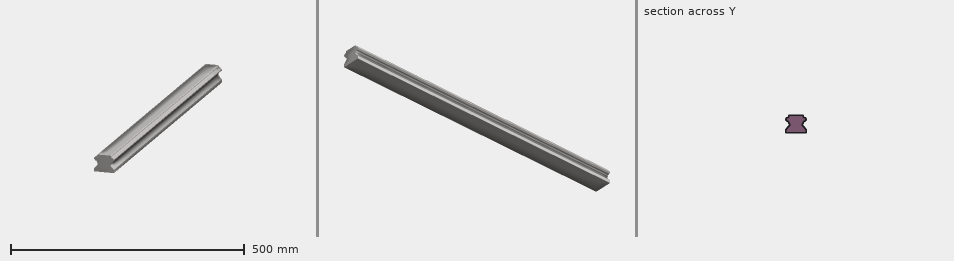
import cadquery as cq
import math

length = 720.0
width = 45.0
height = 38.0
half_width = width / 2

base_side_top = 7.0
waist_half = 14.5
waist_bottom = 16.0
waist_top = 19.5
top_half = waist_half

head_middle = 29.0
land_rise = 1.1

groove_inner_half = 16.0
groove_inner_rise = 8.0
groove_outer_half = 19.5
groove_outer_rise = 4.0
groove_sag = 1.15


def groove_points(direction):
    """Inner edge, deepest point and outer edge of a groove; direction is 1 for upper, -1 for lower."""
    run = groove_outer_half - groove_inner_half
    drop = groove_inner_rise - groove_outer_rise
    chord = math.hypot(run, drop)
    deepest_half = (groove_inner_half + groove_outer_half) / 2 - groove_sag * drop / chord
    deepest_rise = (groove_inner_rise + groove_outer_rise) / 2 - groove_sag * run / chord
    return (
        (groove_inner_half, head_middle + direction * groove_inner_rise),
        (deepest_half, head_middle + direction * deepest_rise),
        (groove_outer_half, head_middle + direction * groove_outer_rise),
    )


lower_inner, lower_deepest, lower_outer = groove_points(-1)
upper_inner, upper_deepest, upper_outer = groove_points(1)

half_section = (
    cq.Workplane("XZ")
    .lineTo(half_width, 0)
    .lineTo(half_width, base_side_top)
    .lineTo(waist_half, waist_bottom)
    .lineTo(waist_half, waist_top)
    .lineTo(*lower_inner)
    .threePointArc(lower_deepest, lower_outer)
    .lineTo(half_width, head_middle - land_rise)
    .lineTo(half_width, head_middle + land_rise)
    .lineTo(*upper_outer)
    .threePointArc(upper_deepest, upper_inner)
    .lineTo(top_half, height)
    .lineTo(0, height)
)

result = half_section.mirrorY().extrude(length / 2, both=True)